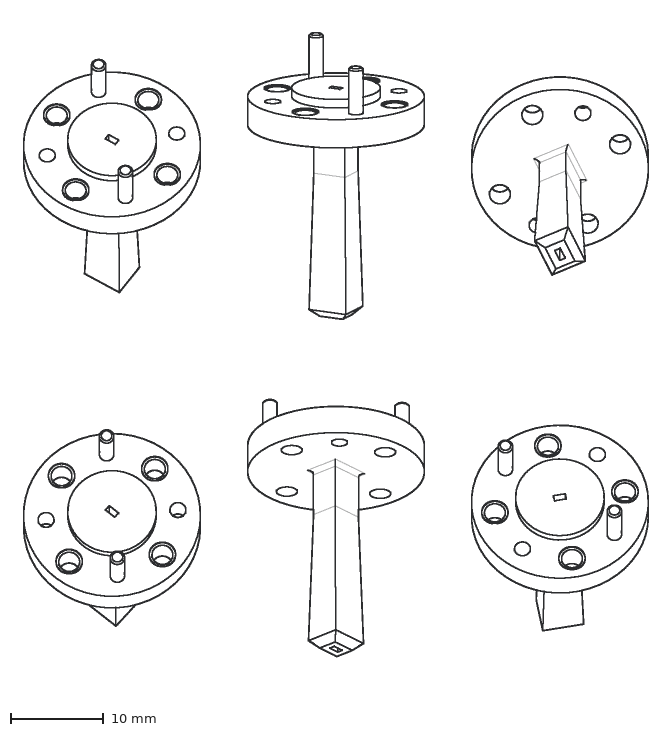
import cadquery as cq
import math

total_height = 29.55

flange_diameter = 19.05
flange_thickness = 3.15
boss_diameter = 9.55
boss_height = 0.95

bolt_circle_radius = 7.12
screw_hole_diameter = 2.25
screw_recess_diameter = 2.85
screw_recess_depth = 0.15
pin_hole_diameter = 1.7
pin_diameter = 1.57
pin_height = 5.08
pin_chamfer = 0.2
screw_angles = (0, 90, 180, 270)
pin_hole_angles = (45, 225)
pin_angles = (135, 315)

guide_width = 1.3
guide_depth = 0.65
neck_wall = 1.25
neck_width = guide_width + 2 * neck_wall
neck_depth = guide_depth + 2 * neck_wall
neck_length = 5.25
neck_fillet = 0.5
flare_width = 4.5
flare_depth = 3.95
tip_bevel = 0.85

flange_bottom = -flange_thickness
neck_bottom = flange_bottom - neck_length
stem_bottom = pin_height - total_height
flare_bottom = stem_bottom + tip_bevel


def bolt_circle_points(angles):
    """Points on the bolt circle at the given angles in degrees."""
    return [
        (
            bolt_circle_radius * math.cos(math.radians(angle)),
            bolt_circle_radius * math.sin(math.radians(angle)),
        )
        for angle in angles
    ]


def make_tapered_block(top, top_size, bottom, bottom_size):
    """Solid between a centred rectangle at the top and another at the bottom."""
    return (
        cq.Workplane("XY", origin=(0, 0, top))
        .rect(*top_size)
        .workplane(offset=bottom - top)
        .rect(*bottom_size)
        .loft(ruled=True)
    )


def make_flange():
    """Flange disc with boss, recessed screw holes and alignment pin holes."""
    disc = cq.Workplane("XY").circle(flange_diameter / 2).extrude(-flange_thickness)
    boss = cq.Workplane("XY").circle(boss_diameter / 2).extrude(boss_height)
    return (
        disc.faces(">Z").workplane()
        .pushPoints(bolt_circle_points(screw_angles))
        .cboreHole(screw_hole_diameter, screw_recess_diameter, screw_recess_depth)
        .faces(">Z").workplane()
        .pushPoints(bolt_circle_points(pin_hole_angles))
        .hole(pin_hole_diameter)
        .union(boss)
    )


def make_pins():
    """Two alignment pins with chamfered ends."""
    return (
        cq.Workplane("XY")
        .pushPoints(bolt_circle_points(pin_angles))
        .circle(pin_diameter / 2)
        .extrude(pin_height)
        .faces(">Z")
        .chamfer(pin_chamfer)
    )


def add_stem(flange):
    """Add the straight neck, filleted into the flange, then the flare and bevelled tip."""
    neck_size = (neck_width, neck_depth)
    flare_size = (flare_width, flare_depth)
    tip_size = (flare_width - 2 * tip_bevel, flare_depth - 2 * tip_bevel)
    neck = (
        cq.Workplane("XY", origin=(0, 0, flange_bottom))
        .rect(*neck_size)
        .extrude(-neck_length)
    )
    root_edges = cq.selectors.BoxSelector(
        (-neck_width, -neck_depth, flange_bottom - neck_fillet / 2),
        (neck_width, neck_depth, flange_bottom + neck_fillet / 2),
        boundingbox=True,
    )
    flare = make_tapered_block(neck_bottom, neck_size, flare_bottom, flare_size)
    tip = make_tapered_block(flare_bottom, flare_size, stem_bottom, tip_size)
    return flange.union(neck).edges(root_edges).fillet(neck_fillet).union(flare).union(tip)


waveguide = (
    cq.Workplane("XY", origin=(0, 0, stem_bottom))
    .rect(guide_width, guide_depth)
    .extrude(boss_height - stem_bottom)
)

result = add_stem(make_flange()).union(make_pins()).cut(waveguide)